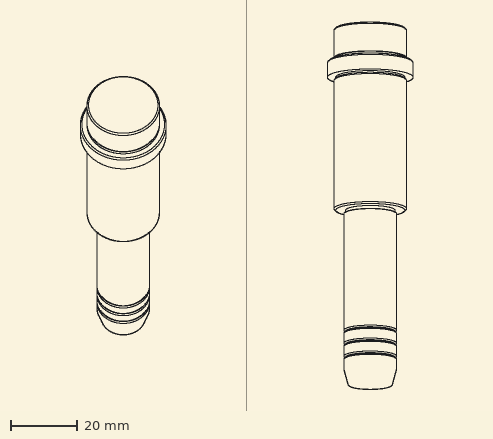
import cadquery as cq
import math

total_height = 110.0
head_length = 9.0
head_neck_length = 1.0
collar_length = 5.0
body_neck_length = 0.5
body_length = 40.5
shank_neck_length = 1.0
taper_length = 5.0

collar_radius = 13.0
body_radius = 11.0
body_neck_radius = 10.5
shank_radius = 8.0
shank_neck_radius = 7.5

tip_taper_angle = 15.0
tip_fillet = 0.5
edge_chamfer = 0.5

groove_count = 3
groove_pitch = 4.0
first_groove_height = 8.5
groove_width = 1.0
groove_floor_width = 0.2
groove_depth = 0.5

head_bottom = total_height - head_length
collar_top = head_bottom - head_neck_length
collar_bottom = collar_top - collar_length
body_top = collar_bottom - body_neck_length
body_bottom = body_top - body_length
shank_top = body_bottom - shank_neck_length
neck_slope = body_radius - body_neck_radius
tip_radius = shank_radius - taper_length * math.tan(math.radians(tip_taper_angle))


def revolve_profile(points):
    """Turn a (radius, height) outline about the Z axis."""
    return cq.Workplane("XZ").polyline(points).close().revolve(360, (0, 0, 0), (0, 1, 0))


def make_pin():
    """Stepped pin with a tapered, rounded tip, before the ring grooves are cut."""
    pin = revolve_profile([
        (0, 0),
        (tip_radius, 0),
        (shank_radius, taper_length),
        (shank_radius, shank_top),
        (shank_neck_radius, shank_top),
        (shank_neck_radius, body_bottom),
        (body_radius - edge_chamfer, body_bottom),
        (body_radius, body_bottom + edge_chamfer),
        (body_radius, body_top - neck_slope),
        (body_neck_radius, body_top),
        (body_neck_radius, collar_bottom),
        (collar_radius, collar_bottom),
        (collar_radius, collar_top - edge_chamfer),
        (collar_radius - edge_chamfer, collar_top),
        (body_radius, collar_top),
        (body_neck_radius, collar_top + neck_slope),
        (body_neck_radius, head_bottom),
        (body_radius, head_bottom),
        (body_radius, total_height - edge_chamfer),
        (body_radius - edge_chamfer, total_height),
        (0, total_height),
    ])
    return pin.faces("<Z").edges().fillet(tip_fillet)


def make_groove_cutter(height):
    """Ring that cuts one groove centred at the given height."""
    floor_radius = shank_radius - groove_depth
    half_width = groove_width / 2
    half_floor = groove_floor_width / 2
    return revolve_profile([
        (floor_radius, height - half_floor),
        (shank_radius, height - half_width),
        (body_radius, height - half_width),
        (body_radius, height + half_width),
        (shank_radius, height + half_width),
        (floor_radius, height + half_floor),
    ])


result = make_pin()
for index in range(groove_count):
    groove_height = first_groove_height + index * groove_pitch
    result = result.cut(make_groove_cutter(groove_height))